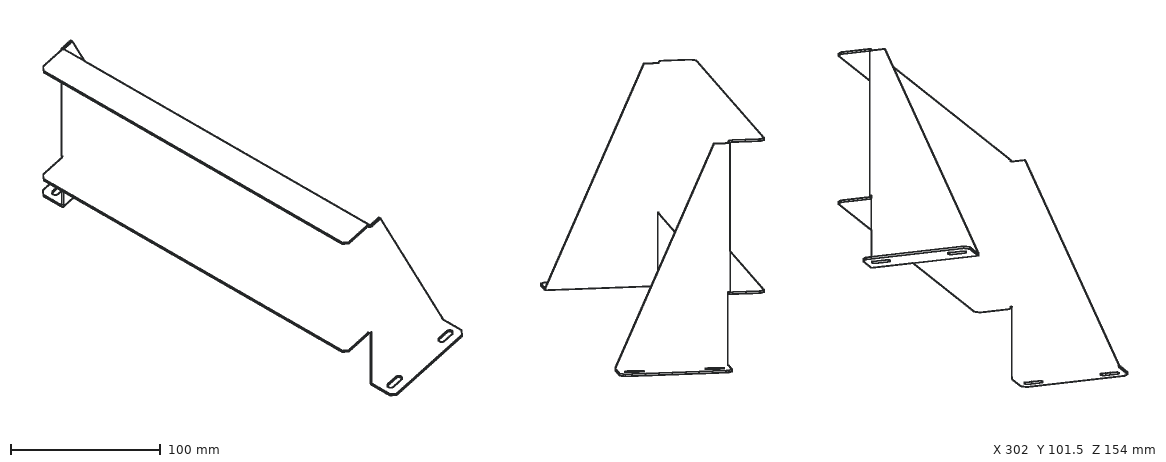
import cadquery as cq

length = 302.0
depth = 101.5
height = 154.0

thickness = 1.5
inner_bend = 0.3
outer_bend = inner_bend + thickness
corner_chamfer = 3.0

web_front = 23.5
channel_height = 105.0
side_outer = 132.3
side_top_depth = 9.5

slot_length = 13.0
slot_width = 4.5
slot_edge_offset = 8.0
slot_end_offset = 11.0

web_back = web_front + thickness
side_front = web_front + outer_bend
bend_overlap_back = side_front + outer_bend
side_inner = side_outer - thickness
channel_half_length = side_outer - outer_bend
channel_bottom = height - channel_height
web_bottom = channel_bottom + outer_bend
side_top = height - outer_bend


def block(x_range, y_range, z_range):
    """Box spanning the given (low, high) ranges."""
    lows, highs = zip(x_range, y_range, z_range)
    sizes = [high - low for low, high in zip(lows, highs)]
    return cq.Workplane("XY").box(*sizes, centered=False).translate(lows)


def make_channel():
    """C-shaped channel whose two flanges point forward."""
    x_range = (-channel_half_length, channel_half_length)
    outside = block(x_range, (0, web_back), (channel_bottom, height))
    outside = outside.edges("|X and >Y").fillet(outer_bend)
    outside = outside.edges("|Z and <Y").chamfer(corner_chamfer)
    inside = block(x_range, (0, web_front), (channel_bottom + thickness, height - thickness))
    inside = inside.edges("|X and >Y").fillet(inner_bend)
    return outside.cut(inside)


def make_web_bends():
    """Web with the vertical bends that turn back into the side plates."""
    z_range = (web_bottom, side_top)
    outside = block((-side_outer, side_outer), (web_front, bend_overlap_back), z_range)
    outside = outside.edges("|Z and <Y").fillet(outer_bend)
    inside = block((-side_inner, side_inner), (web_back, bend_overlap_back), z_range)
    inside = inside.edges("|Z and <Y").fillet(inner_bend)
    return outside.cut(inside)


def make_side():
    """Sloped side plate at +X with its outward slotted foot."""
    y_range = (side_front, depth)
    outside = block((side_inner, length / 2), y_range, (0, side_top))
    outside = outside.edges("|Y and <X and <Z").fillet(outer_bend)
    outside = outside.edges("|Z and >X").chamfer(corner_chamfer)
    recess = block((side_outer, length / 2), y_range, (thickness, side_top))
    recess = recess.edges("|Y and <X and <Z").fillet(inner_bend)
    slope_cut = (
        cq.Workplane("YZ")
        .moveTo(side_front + side_top_depth, side_top)
        .lineTo(depth, outer_bend)
        .lineTo(depth, side_top)
        .close()
        .extrude(length / 2)
    )
    slot_x = length / 2 - slot_edge_offset
    slots = (
        cq.Workplane("XY")
        .pushPoints([(slot_x, side_front + slot_end_offset), (slot_x, depth - slot_end_offset)])
        .slot2D(slot_length, slot_width, 90)
        .extrude(thickness)
    )
    return outside.cut(recess).cut(slope_cut).cut(slots)


side = make_side()
result = make_channel().union(make_web_bends()).union(side).union(side.mirror("YZ"))